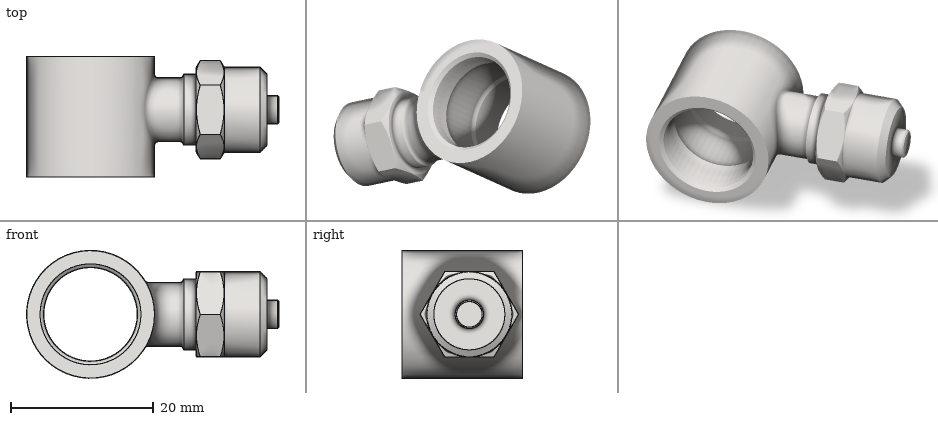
import cadquery as cq
import math

ring_radius = 9.0
ring_length = 17.0
ring_front = -9.5
bore_radius = 6.58
bore_chamfer = 0.52

recess_length = 7.3
recess_depth = 0.34
recess_end_angle = 30.0

neck_radius = 4.5
neck_fillet = 0.5
collar_radius = 5.0
collar_start = 13.15
collar_fillet = 0.5
collar_cone_slope = 60.0

hex_start = 14.85
hex_sides = 6
hex_length = 4.0
hex_across_flats = 12.0
hex_chamfer_angle = 30.0
hex_end_radius = 5.9

nut_radius = hex_across_flats / 2
nut_length = 6.0
nut_chamfer = 1.0

tip_radius = 2.0
tip_length = 1.65
tip_chamfer = 0.2

ring_back = ring_front + ring_length
hex_end = hex_start + hex_length
nut_end = hex_end + nut_length
tip_end = nut_end + tip_length


def cylinder_along_x(radius, start, end):
    return cq.Workplane("YZ", origin=(start, 0, 0)).circle(radius).extrude(end - start)


def revolve_about_y(points):
    """Revolve an outline of (radius, y) points about the Y axis."""
    return cq.Workplane("XY").polyline(points).close().revolve(360, (0, 0), (0, 1))


def revolve_about_x(points):
    """Revolve an outline of (x, radius) points about the X axis."""
    return cq.Workplane("XY").polyline(points).close().revolve(360, (0, 0), (1, 0))


def make_ring_and_neck():
    ring = cq.Workplane("XZ", origin=(0, ring_back, 0)).circle(ring_radius).extrude(ring_length)
    neck = cylinder_along_x(neck_radius, 0, hex_start)
    joined = ring.union(neck)
    joint = cq.selectors.BoxSelector(
        (neck_radius, -collar_radius, -collar_radius),
        (ring_radius + neck_fillet, collar_radius, collar_radius),
    )
    return joined.edges(joint).fillet(neck_fillet)


def make_collar():
    """Collar with a conical shoulder that blends into the neck."""
    slope = math.radians(collar_cone_slope)
    blend_length = collar_fillet * math.sin(slope)
    blend_rise = collar_fillet * (1 - math.cos(slope))
    cone_rise = collar_radius - neck_radius - blend_rise
    blend_start = collar_start - cone_rise / math.tan(slope) - blend_length
    blend_middle = (
        blend_start + collar_fillet * math.sin(slope / 2),
        neck_radius + collar_fillet * (1 - math.cos(slope / 2)),
    )
    blend_end = (blend_start + blend_length, neck_radius + blend_rise)
    return (
        cq.Workplane("XY")
        .moveTo(blend_start, 0)
        .lineTo(blend_start, neck_radius)
        .threePointArc(blend_middle, blend_end)
        .lineTo(collar_start, collar_radius)
        .lineTo(hex_start, collar_radius)
        .lineTo(hex_start, 0)
        .close()
        .revolve(360, (0, 0), (1, 0))
    )


def make_hexagon():
    """Hexagon with corners on +Y and -Y, its corners coned off at both ends."""
    corner_radius = hex_across_flats / 2 / math.cos(math.pi / hex_sides)
    cone_length = (corner_radius - hex_end_radius) * math.tan(math.radians(hex_chamfer_angle))
    prism = (
        cq.Workplane("YZ", origin=(hex_start, 0, 0))
        .polygon(hex_sides, 2 * corner_radius)
        .extrude(hex_length)
    )
    envelope = revolve_about_x([
        (hex_start, 0),
        (hex_start, hex_end_radius),
        (hex_start + cone_length, corner_radius),
        (hex_end - cone_length, corner_radius),
        (hex_end, hex_end_radius),
        (hex_end, 0),
    ])
    return prism.intersect(envelope)


def make_nut_body():
    return cylinder_along_x(nut_radius, hex_end, nut_end).faces(">X").chamfer(nut_chamfer)


def make_tip():
    return cylinder_along_x(tip_radius, nut_end, tip_end).faces(">X").chamfer(tip_chamfer)


def make_bore():
    """Through bore with a chamfered mouth at each end and a recess between them."""
    mouth_radius = bore_radius + bore_chamfer
    recess_radius = bore_radius + recess_depth
    half_recess = recess_length / 2
    half_recess_floor = half_recess - recess_depth / math.tan(math.radians(recess_end_angle))
    return revolve_about_y([
        (0, ring_front),
        (mouth_radius, ring_front),
        (bore_radius, ring_front + bore_chamfer),
        (bore_radius, -half_recess),
        (recess_radius, -half_recess_floor),
        (recess_radius, half_recess_floor),
        (bore_radius, half_recess),
        (bore_radius, ring_back - bore_chamfer),
        (mouth_radius, ring_back),
        (0, ring_back),
    ])


result = (
    make_ring_and_neck()
    .union(make_collar())
    .union(make_hexagon())
    .union(make_nut_body())
    .union(make_tip())
    .cut(make_bore())
)